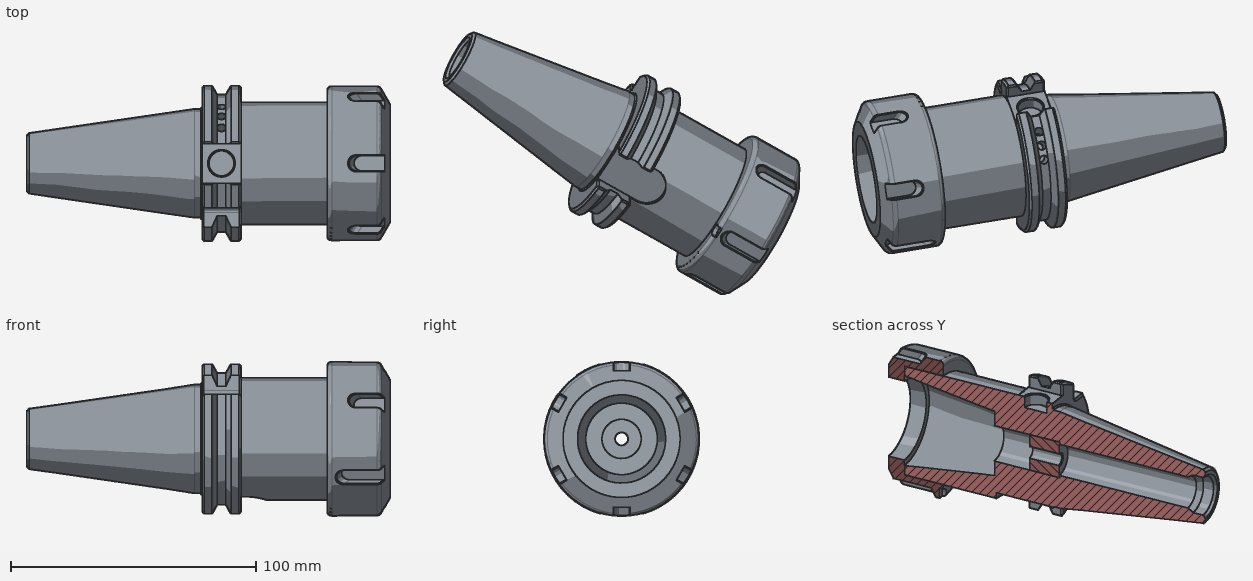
import cadquery as cq
import math


shank_length = 68.4
gauge_radius = 22.225
taper_ratio = 7 / 24
shank_end_radius = gauge_radius - shank_length * taper_ratio / 2
shank_end_chamfer = 1.0

flange_radius = 31.76
flange_back = 3.2
flange_front = 19.1
flange_length = flange_front - flange_back
flange_chamfer = 0.9
neck_fillet = 0.6

groove_x = 11.1
groove_floor_radius = 28.1
groove_floor_half = 1.75
groove_half_angle = 30
groove_lip_chamfer = 0.4

drive_slot_width = 16.1
upper_slot_floor = 25.0
lower_slot_floor = 22.5
lower_slot_run_out_x = 21.5
corner_offset = 18.2
corner_fillet = 1.7
cutout_chamfer = 0.7
chip_hole_radius = 5.1
chip_hole_depth = 5.0
chip_hole_chamfer = 0.5
balance_hole_radius = groove_floor_half
balance_hole_depth = 8.0
balance_hole_angles = (31, 43, 55)

body_radius = 25.0
nose_end = 72.5
socket_mouth_radius = 20.5
socket_half_angle = 8
socket_length = 42.0
socket_back = nose_end - socket_length
socket_back_radius = socket_mouth_radius - socket_length * math.tan(math.radians(socket_half_angle))
drawbar_bore_radius = 7.0
pilot_radius = 8.5
pilot_length = 5.8
pilot_mouth_chamfer = 1.1
pilot_cone_length = 2.5

screw_radius = 8.0
screw_back = 0.0
screw_length = 14.0
screw_hole_radius = 2.6
screw_hole_chamfer = 0.4

nut_radius = 31.5
nut_back = 54.2
nut_front = 80.0
nut_face_radius = 23.9
nut_face_angle = 30
nut_cone_length = (nut_radius - nut_face_radius) * math.tan(math.radians(nut_face_angle))
nut_back_fillet = 1.8
nut_front_fillet = 2.2
nut_opening_radius = 18.0

slot_count = 6
slot_width = 6.2
slot_rim_chamfer = 0.35
cutter_margin = 1.0
slot_floor_radius = 27.8
slot_end_tilt = 31
short_slot_start = 65.2
long_slot_start = 60.1

pocket_width = 4.6
pocket_top_radius = 26.9
pocket_depth = 2.0

size_tolerance = 0.1


def revolve_about_x(profile):
    """Full turn about X of a closed XY profile whose Y is the radius."""
    return profile.close().revolve(360, (0, 0, 0), (1, 0, 0))


def rod(radius, x_start, length):
    return cq.Workplane("YZ").workplane(offset=x_start).circle(radius).extrude(length)


def block(x_range, y_range, z_range):
    size = [high - low for low, high in (x_range, y_range, z_range)]
    corner = (x_range[0], y_range[0], z_range[0])
    return cq.Workplane("XY").box(*size, centered=False).translate(corner)


def make_flange():
    flange = rod(flange_radius, flange_back, flange_length)
    half_width = drive_slot_width / 2
    x_range = (flange_back, flange_front)
    y_range = (-half_width, half_width)
    flange = flange.cut(block(x_range, y_range, (upper_slot_floor, flange_radius)))
    flange = flange.cut(block(x_range, y_range, (-flange_radius, -lower_slot_floor)))
    corner = block(x_range, (-flange_radius, -corner_offset), (corner_offset, flange_radius))
    corner = corner.edges("|X and >Y and <Z").fillet(corner_fillet)
    flange = flange.cut(corner)

    reach = cutout_chamfer / 2
    wall_edges = []
    for wall_y in y_range:
        for z_low, z_high in ((upper_slot_floor, flange_radius), (-flange_radius, -lower_slot_floor)):
            finder = cq.selectors.BoxSelector(
                (flange_back - reach, wall_y - reach, z_low + reach),
                (flange_front + reach, wall_y + reach, z_high - reach),
            )
            wall_edges += flange.edges(finder).vals()
    for face_x in x_range:
        finder = cq.selectors.BoxSelector(
            (face_x - reach, -flange_radius, corner_offset - reach),
            (face_x + reach, -corner_offset + reach, flange_radius),
        )
        wall_edges += flange.edges(finder).vals()
    flange = flange.newObject(wall_edges).chamfer(cutout_chamfer)
    return flange.intersect(flange_envelope())


def flange_envelope():
    """Round flange outline with chamfered rims and the V-groove."""
    slope = math.tan(math.radians(groove_half_angle))
    lip_radius = flange_radius - groove_lip_chamfer
    lip_half = groove_floor_half + (lip_radius - groove_floor_radius) * slope
    mouth_half = lip_half + groove_lip_chamfer
    rim_radius = flange_radius - flange_chamfer
    return revolve_about_x(
        cq.Workplane("XY")
        .moveTo(flange_back, 0)
        .lineTo(flange_back, rim_radius)
        .lineTo(flange_back + flange_chamfer, flange_radius)
        .lineTo(groove_x - mouth_half, flange_radius)
        .lineTo(groove_x - lip_half, lip_radius)
        .lineTo(groove_x - groove_floor_half, groove_floor_radius)
        .lineTo(groove_x + groove_floor_half, groove_floor_radius)
        .lineTo(groove_x + lip_half, lip_radius)
        .lineTo(groove_x + mouth_half, flange_radius)
        .lineTo(flange_front - flange_chamfer, flange_radius)
        .lineTo(flange_front, rim_radius)
        .lineTo(flange_front, 0)
    )


def make_core():
    """Taper shank, neck and cylindrical body without the flange."""
    chamfer_radius = shank_end_radius - shank_end_chamfer
    return revolve_about_x(
        cq.Workplane("XY")
        .moveTo(-shank_length, 0)
        .lineTo(-shank_length, chamfer_radius)
        .lineTo(shank_end_chamfer - shank_length, shank_end_radius + shank_end_chamfer * taper_ratio / 2)
        .lineTo(0, gauge_radius)
        .lineTo(flange_back - neck_fillet, gauge_radius)
        .radiusArc((flange_back, gauge_radius + neck_fillet), neck_fillet)
        .lineTo(flange_back, body_radius)
        .lineTo(nose_end, body_radius)
        .lineTo(nose_end, 0)
    )


def holder_bores():
    pilot_end = pilot_length - shank_length
    return revolve_about_x(
        cq.Workplane("XY")
        .moveTo(-shank_length, 0)
        .lineTo(-shank_length, pilot_radius + pilot_mouth_chamfer)
        .lineTo(pilot_mouth_chamfer - shank_length, pilot_radius)
        .lineTo(pilot_end, pilot_radius)
        .lineTo(pilot_end + pilot_cone_length, drawbar_bore_radius)
        .lineTo(screw_back, drawbar_bore_radius)
        .lineTo(screw_back, screw_radius)
        .lineTo(socket_back, screw_radius)
        .lineTo(socket_back, socket_back_radius)
        .lineTo(nose_end, socket_mouth_radius)
        .lineTo(nose_end, 0)
    )


def lower_slot_run_out():
    """Lower drive slot carried into the body, with the round end of its cutter."""
    half_width = drive_slot_width / 2
    return (
        cq.Workplane("XY")
        .workplane(offset=-flange_radius)
        .moveTo(flange_back, -half_width)
        .lineTo(lower_slot_run_out_x, -half_width)
        .threePointArc((lower_slot_run_out_x + half_width, 0), (lower_slot_run_out_x, half_width))
        .lineTo(flange_back, half_width)
        .close()
        .extrude(flange_radius - lower_slot_floor)
    )


def chip_hole():
    hole = (
        cq.Workplane("XY")
        .workplane(offset=upper_slot_floor - chip_hole_depth)
        .center(groove_x, 0)
        .circle(chip_hole_radius)
        .extrude(chip_hole_depth)
    )
    mouth = (
        cq.Workplane("XY")
        .workplane(offset=upper_slot_floor)
        .center(groove_x, 0)
        .circle(chip_hole_radius + chip_hole_chamfer)
        .extrude(-chip_hole_chamfer, taper=45)
    )
    return hole.union(mouth)


def balance_hole(angle):
    return (
        cq.Workplane("XY")
        .workplane(offset=groove_floor_radius - balance_hole_depth)
        .center(groove_x, 0)
        .circle(balance_hole_radius)
        .extrude(flange_radius - groove_floor_radius + balance_hole_depth)
        .rotate((0, 0, 0), (1, 0, 0), -angle)
    )


def make_holder():
    holder = make_core().union(make_flange())
    holder = holder.cut(holder_bores()).cut(lower_slot_run_out()).cut(chip_hole())
    for angle in balance_hole_angles:
        holder = holder.cut(balance_hole(angle))
    return holder


def make_stop_screw():
    screw = rod(screw_radius, screw_back, screw_length)
    screw = screw.cut(rod(screw_hole_radius, screw_back, screw_length))
    hole_rim = cq.selectors.RadiusNthSelector(0)
    return screw.faces("<X").edges(hole_rim).chamfer(screw_hole_chamfer)


def spanner_slot(start, angle):
    """Slot open to the front, its round end leaning back; angle runs from +Z towards +Y."""
    half_width = slot_width / 2
    height = nut_radius - slot_floor_radius + cutter_margin
    lean = height * math.tan(math.radians(slot_end_tilt))
    end = nut_front + lean
    floor = (
        cq.Workplane("XY")
        .workplane(offset=slot_floor_radius)
        .moveTo(end, -half_width)
        .lineTo(start + half_width, -half_width)
        .threePointArc((start, 0), (start + half_width, half_width))
        .lineTo(end, half_width)
        .close()
    )
    solid = cq.Solid.extrudeLinear(floor.val(), [], cq.Vector(-lean, 0, height))
    return cq.Workplane(solid).rotate((0, 0, 0), (1, 0, 0), -angle)


def back_pocket():
    half_width = pocket_width / 2
    arc_centre = pocket_top_radius + half_width
    return rod(half_width, nut_back, pocket_depth).translate((0, 0, -arc_centre)).union(
        block((nut_back, nut_back + pocket_depth), (-half_width, half_width), (-nut_radius, -arc_centre))
    )


def make_nut():
    nut = revolve_about_x(
        cq.Workplane("XY")
        .moveTo(nut_back, 0)
        .lineTo(nut_back, nut_radius)
        .lineTo(nut_front - nut_cone_length, nut_radius)
        .lineTo(nut_front, nut_face_radius)
        .lineTo(nut_front, 0)
    )
    nut = nut.edges("<X").fillet(nut_back_fillet)
    shoulder = cq.selectors.RadiusNthSelector(-1)
    nut = nut.faces("%CONE").edges(shoulder).fillet(nut_front_fillet)
    nut = nut.cut(rod(body_radius, nut_back, nose_end - nut_back))
    nut = nut.cut(rod(nut_opening_radius, nose_end, nut_front - nose_end))
    for index in range(slot_count):
        angle = index * 360 / slot_count
        below_axis = math.cos(math.radians(angle)) < 0
        start = long_slot_start if below_axis else short_slot_start
        nut = nut.cut(spanner_slot(start, angle))
    nut = nut.newObject(slot_rims(nut)).chamfer(slot_rim_chamfer)
    return nut.cut(back_pocket())


def slot_rims(nut):
    """Edges where the spanner slots break through the cylindrical outside of the nut."""
    outside = nut.faces("%CYLINDER").filter(
        lambda face: abs(face.BoundingBox().ylen / 2 - nut_radius) < size_tolerance
    )
    seam_start = nut_back + nut_back_fillet
    return [
        edge
        for edge in outside.edges().vals()
        if edge.geomType() != "CIRCLE" and edge.BoundingBox().xmin > seam_start + size_tolerance
    ]


holder = make_holder()
stop_screw = make_stop_screw()
nut = make_nut()

result = cq.Compound.makeCompound([holder.val(), stop_screw.val(), nut.val()])